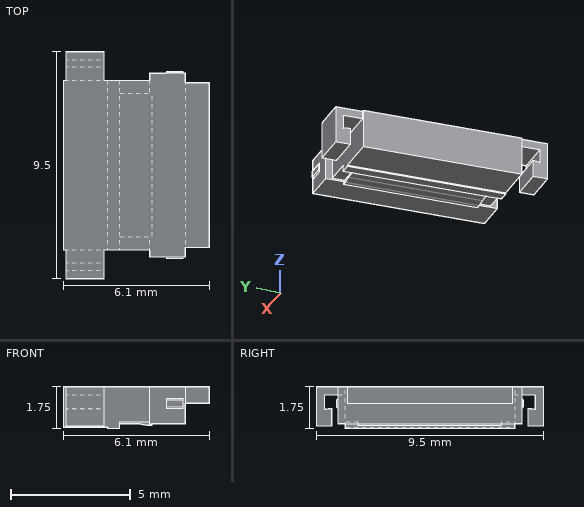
import cadquery as cq


length = 6.1
body_end = 5.1
body_half_width = 3.55
body_depth = 1.7

foot_start = 1.85
foot_end = 2.35
foot_depth = 1.75
relief_depth = 1.48

tail_half_width = 3.45
tail_depth = 0.7

overall_half_width = 4.75
arm_start = 0.1
arm_end = 1.7
arm_depth = 1.65
arm_top_thickness = 0.35
arm_wall_thickness = 0.35
lip_width = 0.65
lip_outer_depth = 0.94
lip_inner_depth = 0.9

block_start = 3.6
block_half_width = 3.85
block_depth = 1.55

ridge_start = 4.3
ridge_end = 5.0
ridge_height = 0.06
ridge_top_depth = 0.5
ridge_bottom_depth = 0.9
ridge_bevel = 0.06

pad_half_width = 3.0
pad_depth = block_depth
pad_ramp_start = 3.15
pad_tip_start = 3.5
pad_tip_end = 3.7
pad_tip_depth = 1.62


def extrude_along_x(points, start, end):
    """Extrude a (Y, Z) outline from X = start to X = end."""
    return cq.Workplane("YZ").workplane(offset=start).polyline(points).close().extrude(end - start)


def extrude_across_y(points, half_width):
    """Extrude an (X, Z) outline symmetrically about Y = 0."""
    return cq.Workplane("XZ").polyline(points).close().extrude(half_width, both=True)


def make_body():
    outline = [
        (0, 0),
        (body_end, 0),
        (body_end, -relief_depth),
        (foot_end, -relief_depth),
        (foot_end, -foot_depth),
        (foot_start, -foot_depth),
        (foot_start, -body_depth),
        (0, -body_depth),
    ]
    return extrude_across_y(outline, body_half_width)


def make_tail():
    outline = [
        (block_start, 0),
        (length, 0),
        (length, -tail_depth),
        (block_start, -tail_depth),
    ]
    return extrude_across_y(outline, tail_half_width)


def make_blocks():
    outline = [
        (block_start, 0),
        (body_end, 0),
        (body_end, -block_depth),
        (block_start, -block_depth),
    ]
    return extrude_across_y(outline, block_half_width)


def make_pad():
    outline = [
        (foot_end, -relief_depth),
        (pad_tip_end, -relief_depth),
        (pad_tip_end, -pad_tip_depth),
        (pad_tip_start, -pad_tip_depth),
        (pad_ramp_start, -pad_depth),
        (foot_end, -pad_depth),
    ]
    return extrude_across_y(outline, pad_half_width)


def make_arm():
    """Arm on the +Y side: a top plate, a hanging wall and an inward lip."""
    wall_inner = overall_half_width - arm_wall_thickness
    lip_inner = overall_half_width - lip_width
    outline = [
        (0, 0),
        (overall_half_width, 0),
        (overall_half_width, -arm_depth),
        (lip_inner, -arm_depth),
        (lip_inner, -lip_inner_depth),
        (wall_inner, -lip_outer_depth),
        (wall_inner, -arm_top_thickness),
        (0, -arm_top_thickness),
    ]
    return extrude_along_x(outline, arm_start, arm_end)


def make_ridge():
    """Bevelled latch ridge on the outer face of the +Y block."""
    crest = block_half_width + ridge_height
    outline = [
        (0, -ridge_top_depth),
        (block_half_width, -ridge_top_depth),
        (crest, -ridge_top_depth - ridge_bevel),
        (crest, -ridge_bottom_depth + ridge_bevel),
        (block_half_width, -ridge_bottom_depth),
        (0, -ridge_bottom_depth),
    ]
    return extrude_along_x(outline, ridge_start, ridge_end)


result = make_body().union(make_tail()).union(make_blocks()).union(make_pad())
for side_feature in (make_arm(), make_ridge()):
    result = result.union(side_feature).union(side_feature.mirror("XZ"))